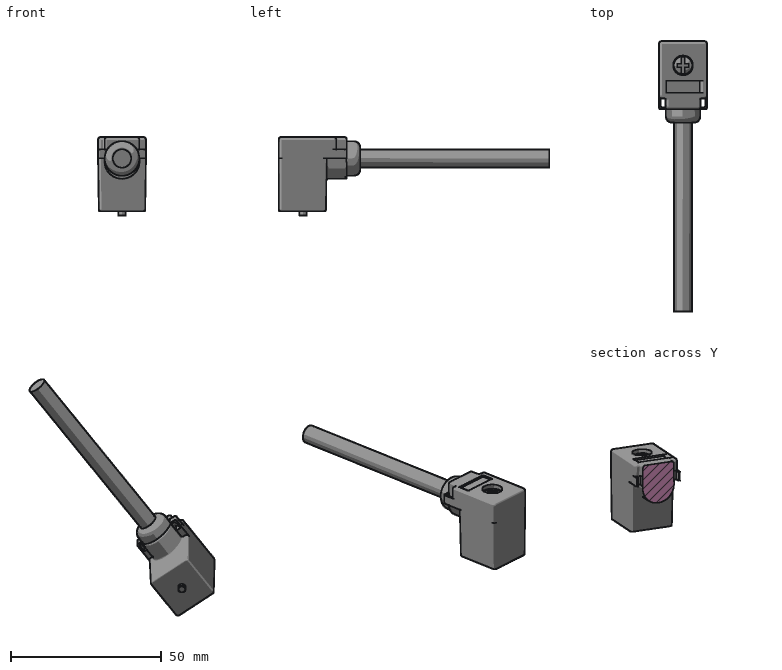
import cadquery as cq
import math

TOTAL_LENGTH = 89.65

WIDTH = 16.0
HALF_WIDTH = WIDTH / 2
UPPER_LENGTH = 22.6
UPPER_HEIGHT = 7.2
EDGE_RADIUS = 1.0
SMALL_RADIUS = 0.5

LOWER_LENGTH = 16.0
LOWER_DEPTH = 17.5
LOWER_TAPER = 0.3

TONGUE_WIDTH = 11.5
HALF_TONGUE = TONGUE_WIDTH / 2
NOTCH_LENGTH = 3.5
FRAME_HEIGHT = 3.05
FRAME_WALL = 0.6
FRAME_CORNER_RADIUS = 0.45

SADDLE_RADIUS = 5.8
SADDLE_AXIS_DROP = 0.9

CABLE_DIAMETER = 6.1
GROMMET_DIAMETER = 11.5
GROMMET_LENGTH = 4.5
GROMMET_RADIUS = 2.15

SCREW_Y = -8.1
HOLE_DIAMETER = 6.5
HOLE_DEPTH = 1.5
HEAD_DIAMETER = 6.1
HEAD_RISE = 1.1
SLOT_WIDTH = 1.2
SLOT_DEPTH = 0.9
SHORT_SLOT_LENGTH = 3.9
TIP_DIAMETER = 2.5
TIP_LENGTH = 1.5
TIP_CHAMFER = 0.2

LABEL_LEFT = -5.6
LABEL_RAMP_START = 5.5
LABEL_BACK_Y = -13.1
LABEL_WIDTH = 4.0
LABEL_DEPTH = 0.6
LABEL_RAMP_ANGLE = math.radians(45)
LABEL_RAMP_RADIUS = 1.1

OVERLAP = 0.9


def box(x_size, y_size, z_size, x_middle, y_front, z_bottom):
    """Box centred on x_middle in X that starts at y_front and z_bottom."""
    block = cq.Workplane("XY").box(x_size, y_size, z_size, centered=(True, False, False))
    return block.translate((x_middle, y_front, z_bottom))


def cylinder_along_y(diameter, y_start, y_end):
    """Cylinder on the Y axis from y_start forward to y_end."""
    return cq.Workplane("XZ", origin=(0, y_start, 0)).circle(diameter / 2).extrude(y_start - y_end)


def make_upper_block():
    """Upper block with notched front corners and rounded edges."""
    notch_y = NOTCH_LENGTH - UPPER_LENGTH
    block = (
        cq.Workplane("XY")
        .moveTo(-HALF_WIDTH, 0)
        .lineTo(-HALF_WIDTH, notch_y)
        .lineTo(-HALF_TONGUE, notch_y)
        .lineTo(-HALF_TONGUE, -UPPER_LENGTH)
        .lineTo(HALF_TONGUE, -UPPER_LENGTH)
        .lineTo(HALF_TONGUE, notch_y)
        .lineTo(HALF_WIDTH, notch_y)
        .lineTo(HALF_WIDTH, 0)
        .close()
        .extrude(UPPER_HEIGHT)
    )
    block = block.edges("|Z").edges("<X or >X").fillet(EDGE_RADIUS)
    block = block.edges("|Z").edges("<Y").fillet(SMALL_RADIUS)
    for x in (-HALF_TONGUE, HALF_TONGUE):
        inner_corner = cq.NearestToPointSelector((x, notch_y, UPPER_HEIGHT / 2))
        block = block.edges(inner_corner).fillet(SMALL_RADIUS)
    return block.faces(">Z").edges().fillet(EDGE_RADIUS)


def add_corner_frame(block, side):
    """Add the open frame in the notch on one side (-1 left, 1 right)."""
    notch_width = HALF_WIDTH - HALF_TONGUE
    frame_width = notch_width + OVERLAP
    frame_x = side * (HALF_WIDTH - frame_width / 2)
    opening_width = notch_width - FRAME_WALL
    opening_x = side * (HALF_TONGUE + opening_width / 2)
    outer = ">X" if side > 0 else "<X"

    frame_length = NOTCH_LENGTH + EDGE_RADIUS
    frame = box(frame_width, frame_length, FRAME_HEIGHT, frame_x, -UPPER_LENGTH, 0)
    frame = frame.edges("|Z and <Y").edges(outer).fillet(SMALL_RADIUS)

    opening_y = FRAME_WALL - UPPER_LENGTH
    opening = box(opening_width, NOTCH_LENGTH - FRAME_WALL, FRAME_HEIGHT, opening_x, opening_y, 0)
    opening = opening.edges("|Z and <Y").edges(outer).fillet(FRAME_CORNER_RADIUS)
    return block.union(frame).cut(opening)


def make_lower_housing():
    bottom_width = WIDTH - 2 * LOWER_TAPER
    bottom_length = LOWER_LENGTH - LOWER_TAPER
    block = (
        cq.Workplane("XY", origin=(0, -LOWER_LENGTH / 2, 0))
        .rect(WIDTH, LOWER_LENGTH)
        .workplane(offset=-LOWER_DEPTH)
        .center(0, LOWER_TAPER / 2)
        .rect(bottom_width, bottom_length)
        .loft(ruled=True)
    )
    block = block.edges("not(#Z)").fillet(EDGE_RADIUS)
    return block.faces("<Z").edges().fillet(SMALL_RADIUS)


def add_saddle(lower):
    """Add the U-shaped saddle in front of the lower housing, blended at its root."""
    length = UPPER_LENGTH - LOWER_LENGTH + OVERLAP
    saddle = (
        cq.Workplane("XZ", origin=(0, OVERLAP - LOWER_LENGTH, 0))
        .moveTo(-SADDLE_RADIUS, 0)
        .lineTo(-SADDLE_RADIUS, -SADDLE_AXIS_DROP)
        .threePointArc((0, -SADDLE_AXIS_DROP - SADDLE_RADIUS), (SADDLE_RADIUS, -SADDLE_AXIS_DROP))
        .lineTo(SADDLE_RADIUS, 0)
        .close()
        .extrude(length)
    )
    saddle = saddle.faces("<Y").edges("not >Z").fillet(SMALL_RADIUS)

    root = cq.selectors.BoxSelector(
        (-HALF_WIDTH, -LOWER_LENGTH - LOWER_TAPER, -UPPER_HEIGHT),
        (HALF_WIDTH, -LOWER_LENGTH + LOWER_TAPER, -LOWER_TAPER),
    )
    return lower.union(saddle).edges(root).fillet(SMALL_RADIUS)


def make_cable():
    grommet_end_y = -UPPER_LENGTH - GROMMET_LENGTH
    grommet = cylinder_along_y(GROMMET_DIAMETER, OVERLAP - UPPER_LENGTH, grommet_end_y)
    grommet = grommet.faces("<Y").edges().fillet(GROMMET_RADIUS)
    cable = cylinder_along_y(CABLE_DIAMETER, -UPPER_LENGTH, -TOTAL_LENGTH)
    return grommet.union(cable)


def make_screw_head_cavity():
    """Space to cut around the domed screw head, including its cross slots."""
    hole_bottom = UPPER_HEIGHT - HOLE_DEPTH
    head_radius = HEAD_DIAMETER / 2
    dome_radius = (head_radius**2 + HEAD_RISE**2) / (2 * HEAD_RISE)
    head_top = hole_bottom + HEAD_RISE

    hole = (
        cq.Workplane("XY", origin=(0, SCREW_Y, hole_bottom))
        .circle(HOLE_DIAMETER / 2)
        .extrude(HOLE_DEPTH)
    )
    dome = cq.Workplane("XY", origin=(0, SCREW_Y, head_top - dome_radius)).sphere(dome_radius)
    cavity = hole.cut(dome)

    for x_size, y_size in ((SLOT_WIDTH, HEAD_DIAMETER), (SHORT_SLOT_LENGTH, SLOT_WIDTH)):
        slot = box(x_size, y_size, SLOT_DEPTH, 0, SCREW_Y - y_size / 2, head_top - SLOT_DEPTH)
        cavity = cavity.union(slot)
    return cavity


def make_screw_tip():
    tip = (
        cq.Workplane("XY", origin=(0, SCREW_Y, OVERLAP - LOWER_DEPTH))
        .circle(TIP_DIAMETER / 2)
        .extrude(-TIP_LENGTH - OVERLAP)
    )
    return tip.faces("<Z").edges().chamfer(TIP_CHAMFER)


def make_label_recess():
    floor_z = UPPER_HEIGHT - LABEL_DEPTH
    round_height = LABEL_RAMP_RADIUS * (1 - math.cos(LABEL_RAMP_ANGLE))
    round_width = LABEL_RAMP_RADIUS * math.sin(LABEL_RAMP_ANGLE)
    ramp_end_x = LABEL_RAMP_START + (LABEL_DEPTH - round_height) / math.tan(LABEL_RAMP_ANGLE)
    return (
        cq.Workplane("XZ", origin=(0, LABEL_BACK_Y, 0))
        .moveTo(LABEL_LEFT, UPPER_HEIGHT)
        .lineTo(LABEL_LEFT, floor_z)
        .lineTo(LABEL_RAMP_START, floor_z)
        .lineTo(ramp_end_x, UPPER_HEIGHT - round_height)
        .tangentArcPoint((ramp_end_x + round_width, UPPER_HEIGHT), relative=False)
        .close()
        .extrude(LABEL_WIDTH)
    )


upper = make_upper_block()
for frame_side in (-1, 1):
    upper = add_corner_frame(upper, frame_side)

lower = add_saddle(make_lower_housing())
body = lower.union(upper).union(make_cable()).union(make_screw_tip())
result = body.cut(make_screw_head_cavity()).cut(make_label_recess())